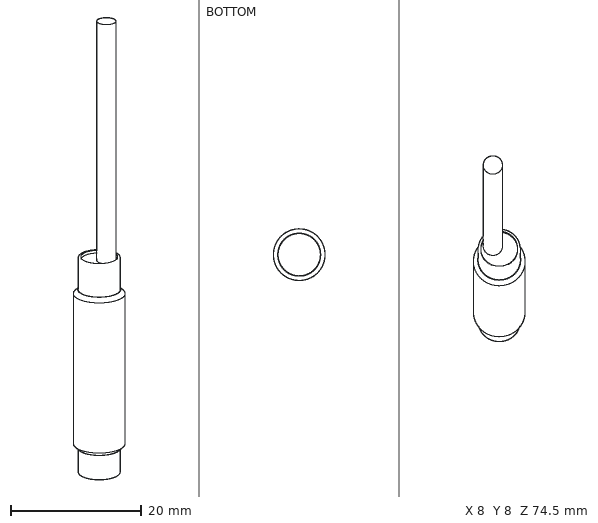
import cadquery as cq

total_length = 74.5
top_plug_end = 35.5

sleeve_diameter = 8.0
sleeve_radius = sleeve_diameter / 2
sleeve_bottom = 4.1
sleeve_top = 30.2
rim_chamfer = 0.7

plug_diameter = 6.5
plug_radius = plug_diameter / 2
plug_edge_fillet = 0.15
recess_radius = 2.8
recess_depth = 0.45
recess_floor = top_plug_end - recess_depth
plug_joint = (sleeve_bottom + sleeve_top) / 2

cable_radius = 1.5
cable_offset_x = 1.1
cable_offset_y = 0.15

bottom = -total_length / 2


def cylinder(radius, start, end):
    """Upright cylinder between two heights measured from the lower end."""
    return cq.Workplane("XY", origin=(0, 0, bottom + start)).circle(radius).extrude(end - start)


def make_sleeve():
    """Tube with a through bore and a bevel on each outer rim."""
    body = cylinder(sleeve_radius, sleeve_bottom, sleeve_top)
    body = body.faces("<Z or >Z").edges().chamfer(rim_chamfer)
    return body.cut(cylinder(plug_radius, sleeve_bottom, sleeve_top))


def make_bottom_plug():
    """Lower plug with a rounded exposed end."""
    return cylinder(plug_radius, 0, plug_joint).faces("<Z").edges().fillet(plug_edge_fillet)


def make_top_plug():
    """Upper plug with a rounded rim around a shallow recess for the cable."""
    body = cylinder(plug_radius, plug_joint, top_plug_end).faces(">Z").edges().fillet(plug_edge_fillet)
    return body.cut(cylinder(recess_radius, recess_floor, top_plug_end))


def make_cable():
    """Straight round cable rising from the recess floor."""
    return cylinder(cable_radius, recess_floor, total_length).translate((cable_offset_x, cable_offset_y, 0))


sleeve = make_sleeve()
bottom_plug = make_bottom_plug()
top_plug = make_top_plug()
cable = make_cable()

result = cq.Compound.makeCompound([sleeve.val(), bottom_plug.val(), top_plug.val(), cable.val()])